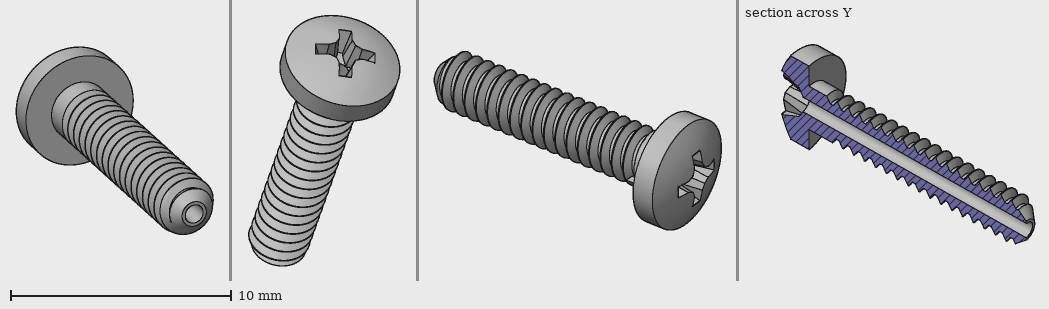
import cadquery as cq
import math


length = 14.44

head_diameter = 5.36
head_height = 1.76
rim_start = 0.68
apex_x = -0.036

major_diameter = 2.8
tip_radius = 0.6
bore_diameter = 0.9

pitch = 0.64
minor_diameter = 2.06
root_width = 0.16
flank_angle = 30.0
groove_start = 2.93
groove_lead_in = 25.0
groove_turns = 18
groove_overrun = 0.022

mouth_x = 0.17
arm_reach = 1.39
arm_width = 0.59
arm_root = 0.77
core_corner = 0.45
taper_depth = 1.0
floor_reach = 0.9
floor_half_width = 0.12
floor_root = 0.75
floor_root_half_width = 0.137
floor_corner = 0.32
floor_angle = 28.0
mouth_lead = 0.43

major_radius = major_diameter / 2
minor_radius = minor_diameter / 2
arm_half_width = arm_width / 2


def make_blank():
    """Revolve the head, shank and tip as one profile."""
    head_radius = head_diameter / 2
    dome_radius = (head_radius**2 + (rim_start - apex_x)**2) / (2 * (rim_start - apex_x))
    mid_radius = head_radius / 2
    mid_x = apex_x + dome_radius - math.sqrt(dome_radius**2 - mid_radius**2)
    tip_start = length - (major_radius - tip_radius)
    return (
        cq.Workplane("XY")
        .moveTo(apex_x, 0)
        .threePointArc((mid_x, mid_radius), (rim_start, head_radius))
        .lineTo(head_height, head_radius)
        .lineTo(head_height, major_radius)
        .lineTo(tip_start, major_radius)
        .lineTo(length, tip_radius)
        .lineTo(length, 0)
        .close()
        .revolve(360, (0, 0, 0), (1, 0, 0))
    )


def make_groove_turn():
    """Sweep a V groove with a flat root through one helical turn."""
    outer_radius = major_radius + groove_overrun
    root_half = root_width / 2
    outer_half = root_half + (outer_radius - minor_radius) * math.tan(math.radians(flank_angle))
    helix = cq.Wire.makeHelix(pitch, pitch, minor_radius)
    groove = (
        cq.Workplane("XZ")
        .polyline([
            (minor_radius, -root_half),
            (outer_radius, -outer_half),
            (outer_radius, outer_half),
            (minor_radius, root_half),
        ])
        .close()
        .sweep(cq.Workplane(obj=helix), isFrenet=True)
    )
    return (
        groove.rotate((0, 0, 0), (0, 1, 0), 90)
        .rotate((0, 0, 0), (1, 0, 0), 90 - groove_lead_in)
    )


def cut_thread(body):
    """Cut the groove turn by turn until it has run out through the tip."""
    groove = make_groove_turn()
    for turn in range(groove_turns):
        start = groove_start + (turn - groove_lead_in / 360) * pitch
        body = body.cut(groove.translate((start, 0, 0)))
    return body


def cross_outline(reach, half_width, root, root_half_width, corner):
    """Points of a four-armed cross, one arm and one core corner per quarter turn."""
    arm = [
        (root, -root_half_width),
        (reach, -half_width),
        (reach, half_width),
        (root, root_half_width),
        (corner, corner),
    ]
    points = []
    for quarter in range(4):
        for y, z in arm:
            points.append((y, z))
        arm = [(-z, y) for y, z in arm]
    return points


def make_recess():
    """Cross recess: straight mouth, tapered arms and a conical floor."""
    mouth = cross_outline(arm_reach, arm_half_width, arm_root, arm_half_width, core_corner)
    floor = cross_outline(
        floor_reach, floor_half_width, floor_root, floor_root_half_width, floor_corner
    )
    floor_x = mouth_x + taper_depth
    lead = cq.Workplane("YZ", origin=(mouth_x, 0, 0)).polyline(mouth).close().extrude(-mouth_lead)
    taper = (
        cq.Workplane("YZ", origin=(mouth_x, 0, 0))
        .polyline(mouth).close()
        .workplane(offset=taper_depth)
        .polyline(floor).close()
        .loft(ruled=True)
    )
    floor_depth = floor_reach * math.tan(math.radians(floor_angle))
    cone = cq.Workplane(obj=cq.Solid.makeCone(
        floor_reach, 0, floor_depth, pnt=cq.Vector(floor_x, 0, 0), dir=cq.Vector(1, 0, 0)
    ))
    floor_prism = cq.Workplane("YZ", origin=(floor_x, 0, 0)).polyline(floor).close().extrude(floor_depth)
    return lead.union(taper).union(floor_prism.intersect(cone))


bore = cq.Workplane("YZ").circle(bore_diameter / 2).extrude(length)

result = cut_thread(make_blank()).cut(make_recess()).cut(bore)